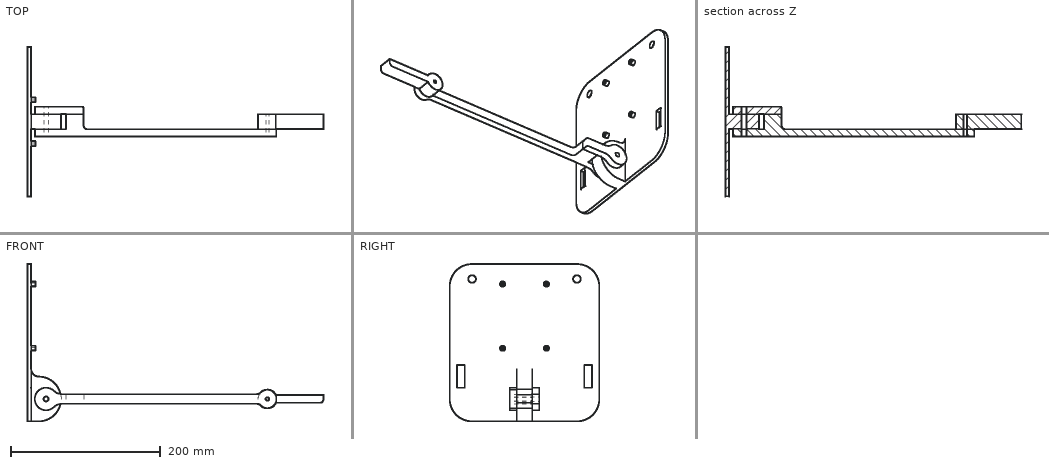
import cadquery as cq
import math

plate_thickness = 5.0
plate_width = 200.0
plate_height = 210.0
plate_corner_radius = 30.0
mount_hole_diameter = 10.0
mount_hole_spacing = 140.0
mount_hole_z = 190.0
slot_width = 10.0
slot_height = 30.0
slot_spacing = 170.0
slot_z = 60.0

peg_diameter = 7.0
peg_bore_diameter = 2.8
peg_length = 6.0
peg_chamfer = 0.8
peg_spacing_y = 58.5
peg_spacing_z = 85.7
peg_lower_z = 97.5
peg_zs = (peg_lower_z, peg_lower_z + peg_spacing_z)

knuckle_radius = 30.0
knuckle_width = 20.0
knuckle_center_x = 15.0
knuckle_root_radius = knuckle_center_x - plate_thickness

hinge_x = 25.0
hinge_z = knuckle_radius
hinge_bore_diameter = 6.5

arm_height = 13.0
cheek_thickness = 10.0
hinge_eye_radius = 15.0
hinge_neck_radius = 15.0
fork_inner_x = 51.5
fork_outer_x = 75.0
fork_root_radius = 5.0
cap_corner_radius = 2.0
cheek_inner_y = knuckle_width / 2
cheek_outer_y = cheek_inner_y + cheek_thickness

handle_axis_x = 320.0
handle_barrel_radius = 12.5
arm_tip_radius = 12.2
handle_neck_radius = 10.0
handle_bore_diameter = 4.5
handle_width = knuckle_width
handle_height = 10.5
handle_end_x = 395.0
handle_tip_radius = 5.0


def cylinder_y(x, z, radius, y_start, y_end):
    """Cylinder along Y between two Y positions."""
    base = cq.Plane(origin=(x, y_start, z), xDir=(1, 0, 0), normal=(0, 1, 0))
    return cq.Workplane(base).circle(radius).extrude(y_end - y_start)


def box_between(x_start, x_end, y_start, y_end, height):
    """Bar between X and Y limits, centred in height on the hinge axis."""
    size = (x_end - x_start, y_end - y_start, height)
    center = ((x_start + x_end) / 2, (y_start + y_end) / 2, hinge_z)
    return cq.Workplane("XY").box(*size).translate(center)


def cylinder_x(y, z, diameter, x_start, x_end):
    """Cylinder along X between two X positions."""
    base = cq.Workplane("YZ", origin=(x_start, y, z))
    return base.circle(diameter / 2).extrude(x_end - x_start)


def neck_reach(eye_radius, neck_radius):
    """X distance from the eye centre to where the neck arc meets the straight bar."""
    return math.sqrt((eye_radius + neck_radius) ** 2 - (arm_height / 2 + neck_radius) ** 2)


def eye_with_neck(axis_x, eye_radius, neck_radius, direction, y_start, y_end):
    """Round eye whose concave neck arcs run into the arm, toward +X or -X."""
    half = arm_height / 2
    arc_center_z = half + neck_radius
    arc_center_x = neck_reach(eye_radius, neck_radius)
    share = eye_radius / (eye_radius + neck_radius)
    tangent_x = arc_center_x * share
    tangent_z = arc_center_z * share
    mid_angle = math.atan2(arc_center_x, arc_center_z) / 2
    mid_x = arc_center_x - neck_radius * math.sin(mid_angle)
    mid_z = arc_center_z - neck_radius * math.cos(mid_angle)

    def point(x, z):
        return (direction * x, z)

    base = cq.Plane(origin=(axis_x, y_end, hinge_z), xDir=(1, 0, 0), normal=(0, -1, 0))
    return (
        cq.Workplane(base)
        .moveTo(*point(arc_center_x, half))
        .threePointArc(point(mid_x, mid_z), point(tangent_x, tangent_z))
        .threePointArc(point(-eye_radius, 0), point(tangent_x, -tangent_z))
        .threePointArc(point(mid_x, -mid_z), point(arc_center_x, -half))
        .close()
        .extrude(y_end - y_start)
    )


def hinge_bore():
    """Through bore on the hinge axis."""
    return cylinder_y(hinge_x, hinge_z, hinge_bore_diameter / 2, -cheek_outer_y, cheek_outer_y)


def handle_bore():
    """Through bore on the handle axis."""
    return cylinder_y(handle_axis_x, hinge_z, handle_bore_diameter / 2, -cheek_outer_y, cheek_outer_y)


def make_knuckle():
    """Rounded lug, flush with the plate bottom and filleted into the plate above."""
    top = 2 * knuckle_radius
    blend = knuckle_root_radius
    blend_mid = blend * (1 - math.sqrt(0.5))
    base = cq.Workplane("XZ", origin=(0, knuckle_width / 2, 0))
    return (
        base.moveTo(plate_thickness, 0)
        .lineTo(knuckle_center_x, 0)
        .threePointArc((knuckle_center_x + knuckle_radius, hinge_z), (knuckle_center_x, top))
        .threePointArc((plate_thickness + blend_mid, top + blend_mid), (plate_thickness, top + blend))
        .close()
        .extrude(knuckle_width)
    )


def make_plate():
    """Plate with mounting holes, strap slots, hollow pegs and the hinge knuckle."""
    peg_tip_x = plate_thickness + peg_length
    body = (
        cq.Workplane("XY")
        .box(plate_thickness, plate_width, plate_height)
        .edges("|X")
        .fillet(plate_corner_radius)
        .translate((plate_thickness / 2, 0, plate_height / 2))
    )
    for side in (-1, 1):
        mount_y = side * mount_hole_spacing / 2
        body = body.cut(cylinder_x(mount_y, mount_hole_z, mount_hole_diameter, 0, plate_thickness))
        slot = cq.Workplane("YZ").rect(slot_width, slot_height).extrude(plate_thickness)
        body = body.cut(slot.translate((0, side * slot_spacing / 2, slot_z)))
        for peg_z in peg_zs:
            peg_y = side * peg_spacing_y / 2
            peg = cylinder_x(peg_y, peg_z, peg_diameter, plate_thickness, peg_tip_x)
            body = body.union(peg.faces(">X").chamfer(peg_chamfer))
            body = body.cut(cylinder_x(peg_y, peg_z, peg_bore_diameter, 0, peg_tip_x))
    body = body.union(make_knuckle())
    return body.cut(hinge_bore())


def make_arm():
    """Long bar with an eye at each end and the fork block beside the hinge."""
    body = box_between(bar_start_x, bar_end_x, -cheek_outer_y, -cheek_inner_y, arm_height)
    body = body.union(
        eye_with_neck(hinge_x, hinge_eye_radius, hinge_neck_radius, 1, -cheek_outer_y, -cheek_inner_y)
    )
    body = body.union(
        eye_with_neck(handle_axis_x, arm_tip_radius, handle_neck_radius, -1, -cheek_outer_y, -cheek_inner_y)
    )
    body = body.union(box_between(fork_inner_x, fork_outer_x, -cheek_outer_y, cheek_inner_y, arm_height))
    root_edge = cq.selectors.NearestToPointSelector((fork_outer_x, -cheek_inner_y, hinge_z))
    body = body.edges("|Z").edges(root_edge).fillet(fork_root_radius)
    return body.cut(hinge_bore()).cut(handle_bore())


def make_fork_cap():
    """Second fork cheek, closing the fork against the block of the arm."""
    bar = box_between(bar_start_x, fork_outer_x, cheek_inner_y, cheek_outer_y, arm_height)
    bar = bar.edges("|Z and >X and >Y").fillet(cap_corner_radius)
    eye = eye_with_neck(hinge_x, hinge_eye_radius, hinge_neck_radius, 1, cheek_inner_y, cheek_outer_y)
    return eye.union(bar).cut(hinge_bore())


def make_handle():
    """Flat grip with a round barrel, rounded under its free end."""
    half = handle_width / 2
    grip = box_between(handle_axis_x, handle_end_x, -half, half, handle_height)
    grip = grip.edges("|Y and >X and <Z").fillet(handle_tip_radius)
    barrel = cylinder_y(handle_axis_x, hinge_z, handle_barrel_radius, -half, half)
    return barrel.union(grip).cut(handle_bore())


bar_start_x = hinge_x + neck_reach(hinge_eye_radius, hinge_neck_radius)
bar_end_x = handle_axis_x - neck_reach(arm_tip_radius, handle_neck_radius)

plate = make_plate()
arm = make_arm()
fork_cap = make_fork_cap()
handle = make_handle()

result = cq.Compound.makeCompound([plate.val(), arm.val(), fork_cap.val(), handle.val()])